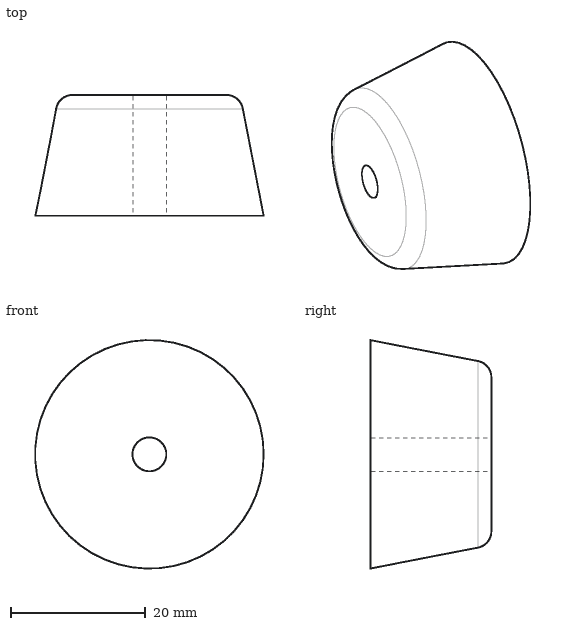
import cadquery as cq

base_diameter = 34.0
end_diameter = 27.0
height = 18.0
edge_radius = 2.5
hole_diameter = 5.0

base_radius = base_diameter / 2
end_radius = end_diameter / 2
base_y = -height / 2
end_y = height / 2


def make_cone():
    """Solid frustum that narrows towards +Y."""
    return (
        cq.Workplane("XY")
        .moveTo(0, base_y)
        .lineTo(base_radius, base_y)
        .lineTo(end_radius, end_y)
        .lineTo(0, end_y)
        .close()
        .revolve(360, (0, 0, 0), (0, 1, 0))
    )


def make_bore():
    """Cylinder along the axis, as long as the bumper."""
    return (
        cq.Workplane("XZ", origin=(0, end_y, 0))
        .circle(hole_diameter / 2)
        .extrude(height)
    )


def make_bumper():
    """Conical bumper with a rounded narrow end and a through bore."""
    rounded_cone = make_cone().faces(">Y").edges().fillet(edge_radius)
    return rounded_cone.cut(make_bore()).solids()


bumper = make_bumper()
result = cq.Compound.makeCompound([bumper.val()])